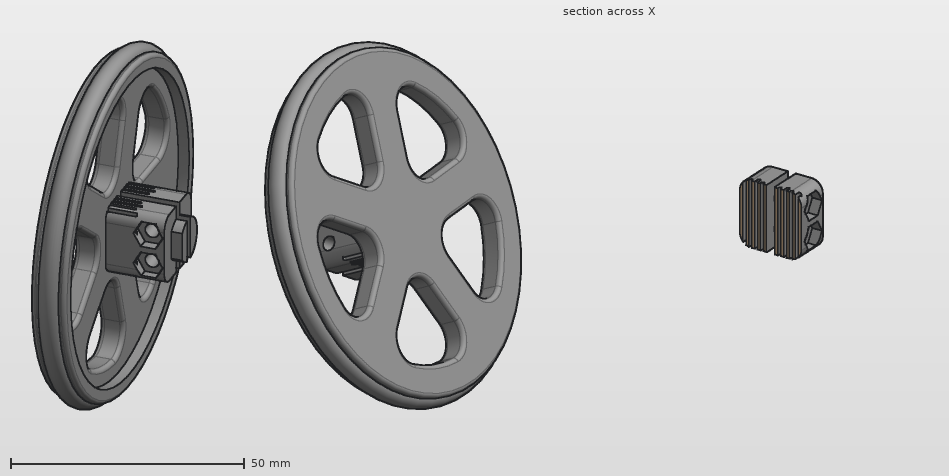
import cadquery as cq
import math

disc_thickness = 8.0
disc_radius = 76.6 / 2
edge_fillet = 1.0

web_thickness = 5.5
recess_radius = 35.0

tyre_outer_radius = 40.0
tyre_section_radius = 2.3
tyre_center_radius = tyre_outer_radius - tyre_section_radius
groove_lip_fillet = 0.4

spoke_count = 5
spoke_angle = 360 / spoke_count
spoke_half_width = 5.0
window_outer_radius = 31.0
window_corner_radius = 5.0

hub_width = 16.0
hub_corner_radius = 3.0
hub_end = 19.0
hub_length = hub_end - web_thickness
clamp_slot_width = 2.0

nose_radius = 5.0
nose_length = 2.5
nose_flat_offset = 3.8

screw_x = 15.25
screw_z = 3.6
screw_hole_diameter = 3.2
nut_across_flats = 5.8
nut_pocket_depth = 2.5

slit_width = 0.7
slit_first_offset = 2.23
slit_pitch = 1.5
short_slit_x = 11.5
long_slit_x = 12.3
slit_end_positions = [short_slit_x, long_slit_x, short_slit_x, long_slit_x]


def make_tyre():
    """Torus around the X axis in the mid plane of the disc."""
    return (
        cq.Workplane("XY")
        .center(disc_thickness / 2, tyre_center_radius)
        .circle(tyre_section_radius)
        .revolve(360, (0, -tyre_center_radius), (1, -tyre_center_radius))
    )


def make_disc():
    """Turned disc: rounded rims, tyre groove with rounded lips, recess on the +X side."""
    middle = disc_thickness / 2
    groove_left = middle - tyre_section_radius
    groove_right = middle + tyre_section_radius
    lip_radius = disc_radius - groove_lip_fillet
    rim_radius = disc_radius - edge_fillet
    return (
        cq.Workplane("XY")
        .lineTo(0, rim_radius)
        .radiusArc((edge_fillet, disc_radius), edge_fillet)
        .lineTo(groove_left - groove_lip_fillet, disc_radius)
        .radiusArc((groove_left, lip_radius), groove_lip_fillet)
        .lineTo(groove_left, tyre_center_radius)
        .threePointArc((middle, tyre_center_radius - tyre_section_radius), (groove_right, tyre_center_radius))
        .lineTo(groove_right, lip_radius)
        .radiusArc((groove_right + groove_lip_fillet, disc_radius), groove_lip_fillet)
        .lineTo(disc_thickness - edge_fillet, disc_radius)
        .radiusArc((disc_thickness, rim_radius), edge_fillet)
        .lineTo(disc_thickness, recess_radius)
        .lineTo(web_thickness, recess_radius)
        .lineTo(web_thickness, 0)
        .close()
        .revolve(360, (0, 0), (1, 0))
    )


def make_window():
    """Rounded sector opening centred on the +Y axis."""
    half_angle = math.radians(spoke_angle / 2)
    apex = spoke_half_width / math.sin(half_angle)
    corner_angle = half_angle - math.asin(spoke_half_width / window_outer_radius)
    corner_y = window_outer_radius * math.cos(corner_angle)
    corner_z = window_outer_radius * math.sin(corner_angle)
    return (
        cq.Workplane("YZ")
        .moveTo(apex, 0)
        .lineTo(corner_y, -corner_z)
        .threePointArc((window_outer_radius, 0), (corner_y, corner_z))
        .close()
        .extrude(web_thickness)
        .edges("|X")
        .fillet(window_corner_radius)
    )


def cut_windows(disc):
    """Cut one window between each pair of spokes and round its edges on both web faces."""
    window = make_window()
    for index in range(spoke_count):
        angle = (index + 0.5) * spoke_angle
        disc = disc.cut(window.rotate((0, 0, 0), (1, 0, 0), angle))
    window_zone = cq.selectors.BoxSelector(
        (-edge_fillet, -window_outer_radius, -window_outer_radius),
        (web_thickness + edge_fillet, window_outer_radius, window_outer_radius),
        boundingbox=True,
    )
    return disc.edges(window_zone).edges("not |X").fillet(edge_fillet)


def make_hub():
    """Rounded square block with a D-shaped nose on its +X end."""
    body = (
        cq.Workplane("YZ", origin=(web_thickness, 0, 0))
        .rect(hub_width, hub_width)
        .extrude(hub_length)
        .edges("|X")
        .fillet(hub_corner_radius)
    )
    nose = cq.Workplane("YZ", origin=(hub_end, 0, 0)).circle(nose_radius).extrude(nose_length)
    keep = (
        cq.Workplane("XY")
        .box(nose_length, nose_flat_offset + nose_radius, 2 * nose_radius, centered=(False, False, True))
        .translate((hub_end, -nose_flat_offset, 0))
    )
    return body.union(nose.intersect(keep))


def cut_clamp_slot(hub):
    """Split the hub and its nose into two jaws down to the web."""
    slot = (
        cq.Workplane("XY")
        .box(hub_length + nose_length, clamp_slot_width, hub_width, centered=(False, True, True))
        .translate((web_thickness, 0, 0))
    )
    return hub.cut(slot)


def cut_screws(hub):
    """Two cross holes, each with a hexagonal nut pocket on the -Y side."""
    nut_corner_diameter = nut_across_flats / math.cos(math.pi / 6)
    front = cq.Workplane("XZ", origin=(0, -hub_width / 2, 0))
    points = [(screw_x, screw_z), (screw_x, -screw_z)]
    holes = front.pushPoints(points).circle(screw_hole_diameter / 2).extrude(-hub_width)
    pockets = front.pushPoints(points).polygon(6, nut_corner_diameter).extrude(-nut_pocket_depth)
    return hub.cut(holes).cut(pockets)


def cut_relief_slits(hub):
    """Round-ended slits through the full height of the hub, mirrored about the clamp slot."""
    for index, end_x in enumerate(slit_end_positions):
        length = end_x - web_thickness
        offset = slit_first_offset + index * slit_pitch
        for side in (-1, 1):
            slit = (
                cq.Workplane("XY", origin=(web_thickness, side * offset, -hub_width / 2))
                .moveTo(0, -slit_width / 2)
                .lineTo(length - slit_width / 2, -slit_width / 2)
                .threePointArc((length, 0), (length - slit_width / 2, slit_width / 2))
                .lineTo(0, slit_width / 2)
                .close()
                .extrude(hub_width)
            )
            hub = hub.cut(slit)
    return hub


tyre = make_tyre()
hub = cut_relief_slits(cut_screws(cut_clamp_slot(make_hub())))
wheel = cut_windows(make_disc()).union(hub)

result = cq.Compound.makeCompound([wheel.val(), tyre.val()])